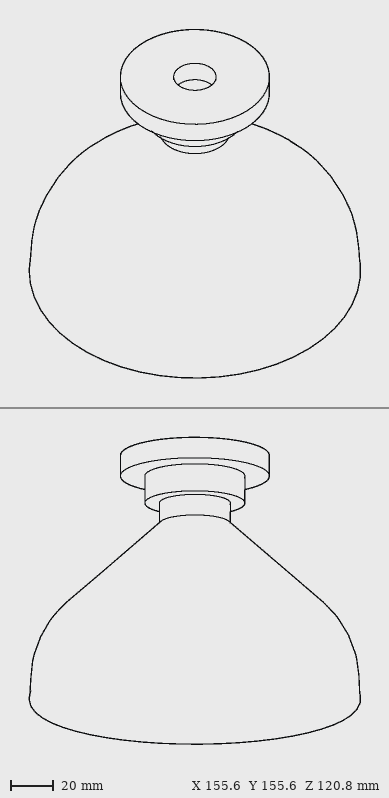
import cadquery as cq
import math

outer_radius = 77.8
rim_round = 3.1
rim_height = 4.4

shoulder_corner_radius = 76.0
shoulder_corner_height = 33.3
shoulder_fillet = 46.7

neck_radius = 33.3 / 2
neck_height = 10.0
collar_radius = 47.0 / 2
collar_height = 13.0
flange_radius = 70.0 / 2
flange_height = 10.0
hole_diameter = 20.0
hole_depth = flange_height

total_height = 120.8
flange_base = total_height - flange_height
collar_base = flange_base - collar_height
bell_height = collar_base - neck_height


def make_bell():
    """Revolve the bell outline and round its shoulder."""
    rim_center = outer_radius - rim_round
    rim_top_radius = rim_center + math.sqrt(rim_round**2 - (rim_height - rim_round) ** 2)
    bell = (
        cq.Workplane("XZ")
        .lineTo(rim_center, 0)
        .threePointArc((outer_radius, rim_round), (rim_top_radius, rim_height))
        .lineTo(shoulder_corner_radius, shoulder_corner_height)
        .lineTo(neck_radius, bell_height)
        .lineTo(0, bell_height)
        .close()
        .revolve(360, (0, 0), (0, 1))
    )
    margin = 1.5
    shoulder_zone = cq.selectors.BoxSelector(
        (-outer_radius, -outer_radius, shoulder_corner_height - margin),
        (outer_radius, outer_radius, shoulder_corner_height + margin),
    )
    return bell.edges("%CIRCLE").edges(shoulder_zone).fillet(shoulder_fillet)


def make_disc(radius, base, height):
    """Round step of the stem, centred on the Z axis."""
    return cq.Workplane("XY").workplane(offset=base).circle(radius).extrude(height)


neck = make_disc(neck_radius, bell_height, neck_height)
collar = make_disc(collar_radius, collar_base, collar_height)
flange = make_disc(flange_radius, flange_base, flange_height)
body = make_bell().union(neck).union(collar).union(flange)

result = body.faces(">Z").workplane().hole(hole_diameter, hole_depth)